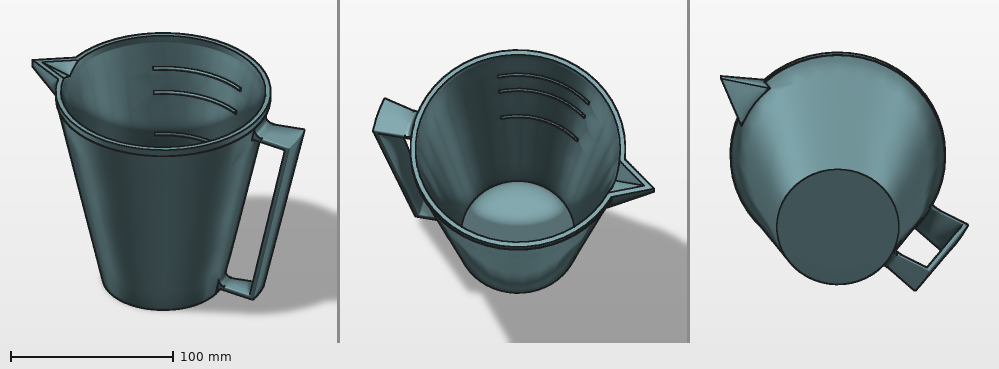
import cadquery as cq
import math

cup_height = 136.2
base_radius = 37.5
floor_thickness = 6.5
floor_radius = 34.9
rim_radius = 66.2
rim_height = 4.7
mouth_radius = 126.0 / 2
wall_top_radius = 65.9
rim_bottom = cup_height - rim_height
wall_slope = (wall_top_radius - base_radius) / rim_bottom
bore_slope = (mouth_radius - floor_radius) / (rim_bottom - floor_thickness)

spout_tip = 88.0
spout_half_angle = 30.0
spout_tip_depth = 5.0
spout_root_x = 62.6
spout_root_depth = 15.2
spout_overlap = 12.9
channel_tip = 81.6
channel_depth = 5.4
channel_overrun = 2.1

handle_angle = 15.0
handle_reach = 91.1
handle_thickness = 3.2
handle_top = 125.5
handle_bottom = 4.5
grip_slope = 0.22
root_embed = 1.5
top_root_fillet = 5.0
bottom_root_fillet = 3.5
inner_root_fillet = 1.0
handle_edge_fillet = 0.9

mark_heights = (72.7, 99.3, 114.7)
mark_bead_radius = 1.0
mark_angle = 60.0


def wall_radius(z):
    """Outer radius of the tapered wall at height z."""
    return base_radius + wall_slope * z


def bore_radius(z):
    """Inner radius of the tapered wall at height z."""
    return floor_radius + bore_slope * (z - floor_thickness)


def revolve_profile(points, angle=360.0):
    """Sweep an (r, z) outline about Z, starting in the XZ plane."""
    return cq.Workplane("XZ").polyline(points).close().revolve(angle, (0, 0), (0, 1))


def make_outer_cup():
    return revolve_profile([
        (0, 0),
        (base_radius, 0),
        (wall_top_radius, rim_bottom),
        (rim_radius, rim_bottom),
        (rim_radius, cup_height),
        (0, cup_height),
    ])


def make_bore():
    return revolve_profile([
        (0, floor_thickness),
        (floor_radius, floor_thickness),
        (mouth_radius, rim_bottom),
        (mouth_radius, cup_height),
        (0, cup_height),
    ])


def make_spout():
    """Triangular beak with a sloping underside, running into the cup."""
    spread = math.tan(math.radians(spout_half_angle))
    inner_x = spout_root_x - spout_overlap
    side = (
        cq.Workplane("XZ")
        .moveTo(-spout_tip, cup_height)
        .lineTo(-spout_tip, cup_height - spout_tip_depth)
        .lineTo(-spout_root_x, cup_height - spout_root_depth)
        .lineTo(-inner_x, cup_height - spout_root_depth)
        .lineTo(-inner_x, cup_height)
        .close()
        .extrude(rim_radius, both=True)
    )
    half_width = (spout_tip - inner_x) * spread
    plan = (
        cq.Workplane("XY")
        .polyline([(-spout_tip, 0), (-inner_x, -half_width), (-inner_x, half_width)])
        .close()
        .extrude(cup_height)
    )
    return side.intersect(plan)


def make_channel():
    """V-shaped pouring channel, deepening from its tip toward the cup."""
    spread = math.tan(math.radians(spout_half_angle))
    length = channel_tip - mouth_radius + channel_overrun
    depth = channel_depth * length / (channel_tip - mouth_radius)
    end_x = -channel_tip + length
    left = cq.Vector(end_x, length * spread, cup_height)
    right = cq.Vector(end_x, -length * spread, cup_height)
    low = cq.Vector(end_x, 0, cup_height - depth)
    tip = cq.Vector(-channel_tip, 0, cup_height)
    triangles = [(left, right, low), (tip, left, low), (tip, low, right), (tip, right, left)]
    faces = [cq.Face.makeFromWires(cq.Wire.makePolygon(t, close=True)) for t in triangles]
    return cq.Workplane(cq.Solid.makeSolid(cq.Shell.makeShell(faces)))


def make_root_flare(z, direction, radius):
    """Concave fillet between a handle arm at height z and the wall, above (+1) or below (-1)."""
    wall_tilt = math.atan(wall_slope)
    corner_angle = math.pi / 2 - direction * wall_tilt
    reach = radius / math.tan(corner_angle / 2)
    corner = wall_radius(z)
    arm_x = corner + reach
    wall_z = z + direction * reach * math.cos(wall_tilt)
    wall_x = wall_radius(wall_z)
    centre_z = z + direction * radius
    to_corner = math.hypot(reach, radius)
    middle_x = arm_x - reach * radius / to_corner
    middle_z = centre_z - direction * radius * radius / to_corner
    arm_middle_z = z - direction * handle_thickness / 2
    return (
        cq.Workplane("XZ")
        .moveTo(arm_x, z)
        .threePointArc((middle_x, middle_z), (wall_x, wall_z))
        .lineTo(wall_x - root_embed, wall_z)
        .lineTo(wall_radius(arm_middle_z) - root_embed, arm_middle_z)
        .lineTo(arm_x, arm_middle_z)
        .close()
        .revolve(handle_angle, (0, 0), (0, 1))
    )


def make_handle():
    """C-shaped handle whose grip is inclined like the wall."""
    top_arm_underside = handle_top - handle_thickness
    bottom_arm_upside = handle_bottom + handle_thickness

    def grip_radius(z):
        return handle_reach - grip_slope * (handle_top - z)

    frame = revolve_profile([
        (wall_radius(handle_bottom) - root_embed, handle_bottom),
        (grip_radius(handle_bottom), handle_bottom),
        (handle_reach, handle_top),
        (wall_radius(handle_top) - root_embed, handle_top),
        (wall_radius(top_arm_underside) - root_embed, top_arm_underside),
        (grip_radius(top_arm_underside) - handle_thickness, top_arm_underside),
        (grip_radius(bottom_arm_upside) - handle_thickness, bottom_arm_upside),
        (wall_radius(bottom_arm_upside) - root_embed, bottom_arm_upside),
    ], handle_angle).edges().fillet(handle_edge_fillet)
    handle = frame
    for z, direction, radius in (
        (handle_top, 1, top_root_fillet),
        (top_arm_underside, -1, inner_root_fillet),
        (bottom_arm_upside, 1, bottom_root_fillet),
        (handle_bottom, -1, bottom_root_fillet),
    ):
        handle = handle.union(make_root_flare(z, direction, radius))
    return handle.rotate((0, 0, 0), (0, 0, 1), -handle_angle / 2)


def make_level_marks():
    """Round beads along the inner wall, three on each side of the cup."""
    marks = []
    for z in mark_heights:
        for side_angle in (90, 270):
            bead = (
                cq.Workplane("XZ")
                .center(bore_radius(z), z)
                .circle(mark_bead_radius)
                .revolve(mark_angle, (-bore_radius(z), 0), (-bore_radius(z), 1))
                .rotate((0, 0, 0), (0, 0, 1), side_angle - mark_angle / 2)
            )
            marks.append(bead)
    return marks


cup = make_outer_cup().union(make_spout()).union(make_handle())
cup = cup.cut(make_bore()).cut(make_channel())
for bead in make_level_marks():
    cup = cup.union(bead)
result = cup